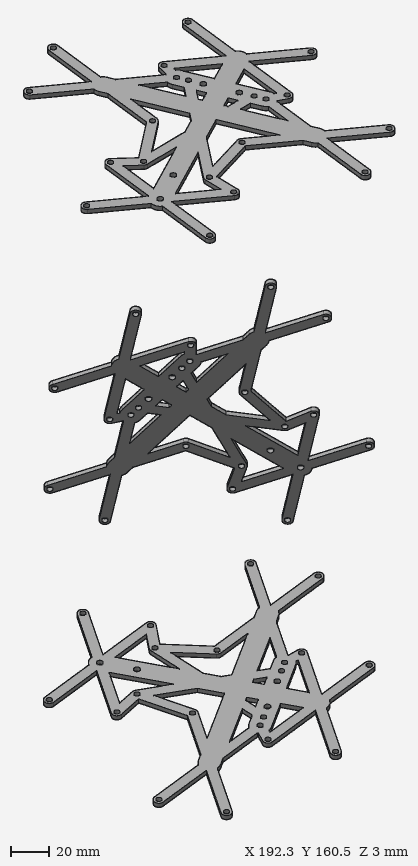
import cadquery as cq
import math

THICKNESS = 3.0
ARM_WIDTH = 6.0
BEAM_WIDTH = 12.0

MOUNT_LONG = 34.16
MOUNT_SHORT = 18.245
CROSS_OFFSET = 59.0
CROSS_BEAM_Y = 15.8
SPINE_HOLE_PITCH = 20.0
BRIDGE_HOLE_X = 10.0

MOUNT_HOLE_DIAMETER = 3.2
FRAME_HOLE_DIAMETER = 3.5

SIDE_INNER_X = CROSS_OFFSET - MOUNT_LONG
SIDE_OUTER_X = CROSS_OFFSET + MOUNT_LONG
SIDE_UPPER_Y = CROSS_BEAM_Y + MOUNT_SHORT
SIDE_LOWER_Y = CROSS_BEAM_Y - MOUNT_SHORT
END_INNER_Y = CROSS_OFFSET - MOUNT_SHORT
END_OUTER_Y = CROSS_OFFSET + MOUNT_SHORT


def bar(start, end, width):
    """Flat bar with round ends centred on the two given points."""
    dx = end[0] - start[0]
    dy = end[1] - start[1]
    middle = ((start[0] + end[0]) / 2, (start[1] + end[1]) / 2)
    return (
        cq.Workplane("XY")
        .center(*middle)
        .slot2D(math.hypot(dx, dy) + width, width, math.degrees(math.atan2(dy, dx)))
        .extrude(THICKNESS)
    )


def beams():
    """Spine along Y, cross beam along X and the bridge above the cross beam."""
    spine = bar((0, -CROSS_OFFSET), (0, CROSS_OFFSET), BEAM_WIDTH)
    cross_beam = bar((-CROSS_OFFSET, CROSS_BEAM_Y), (CROSS_OFFSET, CROSS_BEAM_Y), BEAM_WIDTH)
    bridge = bar((-SIDE_INNER_X, SIDE_UPPER_Y), (SIDE_INNER_X, SIDE_UPPER_Y), BEAM_WIDTH)
    return [spine, cross_beam, bridge]


def arm_cross(center_x, center_y):
    """Two crossing arms joining opposite corners of a mounting hole rectangle."""
    return [
        bar(
            (center_x - MOUNT_LONG, center_y - slope * MOUNT_SHORT),
            (center_x + MOUNT_LONG, center_y + slope * MOUNT_SHORT),
            ARM_WIDTH,
        )
        for slope in (-1, 1)
    ]


def center_struts():
    """Crossing struts at the middle; one is interrupted between cross beam and spine."""
    lower_left = (-MOUNT_SHORT, -MOUNT_LONG)
    upper_right = (MOUNT_SHORT, MOUNT_LONG)
    beam_crossing = (CROSS_BEAM_Y * MOUNT_SHORT / MOUNT_LONG, CROSS_BEAM_Y)
    return [
        bar((-MOUNT_SHORT, MOUNT_LONG), (MOUNT_SHORT, -MOUNT_LONG), ARM_WIDTH),
        bar(lower_left, (0, 0), ARM_WIDTH),
        bar(beam_crossing, upper_right, ARM_WIDTH),
    ]


def links(side):
    """Links tying the neighbouring arm ends together on one side of the spine."""
    strut_foot = (side * MOUNT_SHORT, -MOUNT_LONG)
    return [
        bar((side * MOUNT_LONG, END_INNER_Y), (side * SIDE_INNER_X, SIDE_UPPER_Y), ARM_WIDTH),
        bar((side * SIDE_INNER_X, SIDE_LOWER_Y), strut_foot, ARM_WIDTH),
        bar(strut_foot, (side * MOUNT_LONG, -END_INNER_Y), ARM_WIDTH),
    ]


def holes(points, diameter):
    """Cutters for through holes at the given points."""
    return cq.Workplane("XY").pushPoints(points).circle(diameter / 2).extrude(THICKNESS)


mount_points = []
for side in (-1, 1):
    for end in (-1, 1):
        mount_points.append((side * MOUNT_LONG, end * END_INNER_Y))
        mount_points.append((side * MOUNT_LONG, end * END_OUTER_Y))
        mount_points.append((side * MOUNT_SHORT, end * MOUNT_LONG))
    for y in (SIDE_LOWER_Y, SIDE_UPPER_Y):
        mount_points.append((side * SIDE_INNER_X, y))
        mount_points.append((side * SIDE_OUTER_X, y))

frame_points = [
    (-BRIDGE_HOLE_X, SIDE_UPPER_Y),
    (BRIDGE_HOLE_X, SIDE_UPPER_Y),
    (0, -CROSS_OFFSET),
    (0, -CROSS_OFFSET + SPINE_HOLE_PITCH),
]

members = beams() + center_struts()
for side in (-1, 1):
    members += arm_cross(0, side * CROSS_OFFSET)
    members += arm_cross(side * CROSS_OFFSET, CROSS_BEAM_Y)
    members += links(side)

plate = members[0]
for member in members[1:]:
    plate = plate.union(member)

result = (
    plate.clean()
    .cut(holes(mount_points, MOUNT_HOLE_DIAMETER))
    .cut(holes(frame_points, FRAME_HOLE_DIAMETER))
)